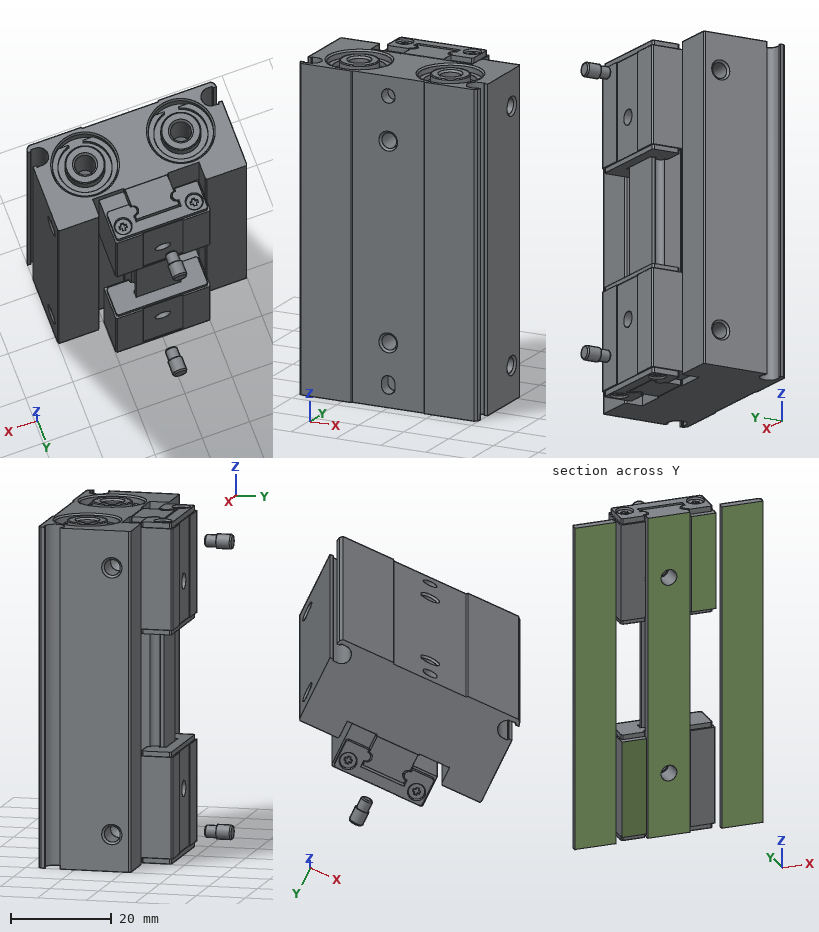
import cadquery as cq
import math

length = 69.0
mid_z = length / 2

housing_half_width = 20.0
wing_top = 18.9
wing_inner_x = 11.25
wing_break_width = 0.2
wing_break_height = 0.4
floor_y = 15.0
pad_y = 15.25
pad_half_width = 4.7
front_recess_half_width = 8.2
front_recess_draft = 0.3
front_recess_depth = 0.3
foot_taper_inset = 0.2
foot_taper_y = 0.5
foot_corner_inset = 0.75

slot_y = 2.9
slot_radius = 1.9
slot_center_x = housing_half_width - 1.8
slot_lip = 0.8
slot_mouth_half_width = 1.6

bore_x = 10.15
bore_y = 7.6
bore_radius = 13.0 / 2
bore_chamfer = 0.35
ring_depth = 1.45
ring_thickness = 1.0
ring_inner_radius = 10.75 / 2
ring_gap = 3.05
ring_flat = 5.4
recess_depth = ring_depth + ring_thickness

rod_radius = 8.0 / 2
rod_chamfer = 0.2
rod_length = mid_z
rod_hole_diameter = 4.15
rod_hole_mouth = 5.0
rod_hole_depth = 9.65
drill_point_angle = 118.0

mount_hole_diameter = 3.25
hole_mouth_diameter = 4.15
mount_hole_offset = 21.0
mount_hole_zs = [mid_z - mount_hole_offset, mid_z + mount_hole_offset]
side_hole_offset = 27.0
side_hole_y = 15.05
side_hole_depth = 5.5
locator_diameter = 3.0
locator_z = 64.85
locator_depth = 2.75
oblong_z = 4.75
oblong_length = 3.85

rail_half_width = 4.5
rail_top = 21.9
rail_end_recess = 0.15
raceway_y = 20.0
raceway_radius = 1.05

carriage_half_width = 10.0
carriage_top = 25.0
carriage_length = 22.6
carriage_underside = 18.0
carriage_edge_chamfer = 0.3
leg_bottom = 15.25
carriage_inner_half_width = 4.75
carriage_inner_top = 22.35
nub_radius = 1.0
top_recess_half_width = 4.2
top_recess_depth = 0.2
outer_cap_thickness = 1.1
inner_cap_thickness = 1.0
cap_inset = 0.35
cap_underside = 18.5
cap_chamfer = 0.35
screw_x = 7.5
screw_y = 22.35
screw_recess_radius = 3.6 / 2
screw_head_radius = 3.25 / 2
screw_recess_depth = 0.4
cross_length = 1.5
cross_width = 0.6
cross_depth = 1.0

pin_head_y = 34.8
pin_step_y = 31.7
pin_end_y = 29.25
pin_offset = 29.4
pin_head_radius = 3.0 / 2
pin_neck_radius = 2.5 / 2
pin_head_chamfer_length = 0.35
pin_head_chamfer_width = 0.2
pin_neck_chamfer = 0.3


def box(x0, x1, y0, y1, z0, z1):
    return cq.Workplane("XY").box(x1 - x0, y1 - y0, z1 - z0, centered=False).translate((x0, y0, z0))


def rod_along_z(x, y, radius, z0, z1):
    return cq.Workplane("XY", origin=(x, y, z0)).circle(radius).extrude(z1 - z0)


def rod_along_y(z, radius, y0, y1):
    """Cylinder on the plane x = 0, running from y0 up to y1."""
    return cq.Workplane("XZ", origin=(0, y0, z)).circle(radius).extrude(y0 - y1)


def drilled_hole(diameter, mouth_diameter, depth):
    """Blind hole from the origin along -Z, with a 45 degree mouth and a drill point."""
    radius = diameter / 2
    mouth_radius = mouth_diameter / 2
    point_length = radius / math.tan(math.radians(drill_point_angle / 2))
    half_section = [
        (0, 0),
        (mouth_radius, 0),
        (radius, radius - mouth_radius),
        (radius, -depth),
        (0, -depth - point_length),
    ]
    return cq.Workplane("XZ").polyline(half_section).close().revolve(360, (0, 0), (0, 1))


def mount_hole(z):
    return rod_along_y(z, mount_hole_diameter / 2, 0, carriage_top)



def housing_profile():
    half_outline = [
        (front_recess_half_width - front_recess_draft, front_recess_depth),
        (front_recess_half_width, 0),
        (housing_half_width - foot_corner_inset, 0),
        (housing_half_width - foot_taper_inset, foot_taper_y),
        (housing_half_width, slot_y - slot_mouth_half_width),
        (housing_half_width, wing_top - wing_break_height),
        (housing_half_width - wing_break_width, wing_top),
        (wing_inner_x + wing_break_width, wing_top),
        (wing_inner_x, wing_top - wing_break_height),
        (wing_inner_x, floor_y),
        (pad_half_width, floor_y),
        (pad_half_width, pad_y),
    ]
    mirrored = [(-x, y) for x, y in reversed(half_outline)]
    return cq.Workplane("XY").polyline(half_outline + mirrored).close().extrude(length)


def side_slot():
    """Slot on the +X side."""
    inside_lip = housing_half_width - slot_lip
    slot = rod_along_z(slot_center_x, slot_y, slot_radius, 0, length)
    slot = slot.union(box(slot_center_x, inside_lip, slot_y - slot_radius, slot_y + slot_radius, 0, length))
    mouth_bottom = slot_y - slot_mouth_half_width
    mouth_top = slot_y + slot_mouth_half_width
    return slot.union(box(slot_center_x, housing_half_width, mouth_bottom, mouth_top, 0, length))


def bore_recess():
    """Space around a rod at the bore mouth, leaving the retaining ring and opening for the rod."""
    recess = rod_along_z(0, 0, bore_radius, -recess_depth, 0)
    mouth = cq.Solid.makeCone(bore_radius, bore_radius + bore_chamfer, bore_chamfer,
                              cq.Vector(0, 0, -bore_chamfer))
    recess = recess.union(cq.Workplane(obj=mouth))

    ring = rod_along_z(0, 0, bore_radius, -recess_depth, -ring_depth)
    ring = ring.cut(rod_along_z(0, 0, ring_inner_radius, -recess_depth, -ring_depth))
    ring = ring.cut(box(-bore_radius, bore_radius, -bore_radius, -ring_flat, -recess_depth, 0))
    ring = ring.cut(box(-ring_gap / 2, ring_gap / 2, -bore_radius, 0, -recess_depth, 0))

    return recess.cut(ring).union(rod_along_z(0, 0, rod_radius, -rod_length, 0))


def mount_hole_mouth(z):
    mouth_radius = hole_mouth_diameter / 2
    radius = mount_hole_diameter / 2
    cone = cq.Solid.makeCone(mouth_radius, radius, mouth_radius - radius,
                             cq.Vector(0, front_recess_depth, z), cq.Vector(0, 1, 0))
    return cq.Workplane(obj=cone)


def locator_holes():
    bottom_y = front_recess_depth + locator_depth
    round_hole = rod_along_y(locator_z, locator_diameter / 2, 0, bottom_y)
    oblong_hole = (
        cq.Workplane("XZ", origin=(0, 0, oblong_z))
        .slot2D(oblong_length, locator_diameter, 90)
        .extrude(-bottom_y)
    )
    return round_hole.union(oblong_hole)


def make_rail():
    rail = box(-rail_half_width, rail_half_width, pad_y, rail_top, rail_end_recess, length - rail_end_recess)
    for side in (-1, 1):
        rail = rail.cut(rod_along_z(side * rail_half_width, raceway_y, raceway_radius, 0, length))
    return rail


def make_housing():
    body = housing_profile().union(make_rail())
    slot = side_slot()
    body = body.cut(slot).cut(slot.mirror("YZ"))
    for side in (-1, 1):
        body = body.cut(bore_recess().translate((side * bore_x, bore_y, length)))
    for z in mount_hole_zs:
        body = body.cut(mount_hole(z)).cut(mount_hole_mouth(z))
    side_hole = drilled_hole(mount_hole_diameter, hole_mouth_diameter, side_hole_depth)
    for side in (-1, 1):
        turned_hole = side_hole.rotate((0, 0, 0), (0, 1, 0), side * 90)
        for z in (mid_z - side_hole_offset, mid_z + side_hole_offset):
            body = body.cut(turned_hole.translate((side * housing_half_width, side_hole_y, z)))
    return body.cut(locator_holes())



def make_rod(x):
    rod = rod_along_z(0, 0, rod_radius, -rod_length, 0).faces(">Z").chamfer(rod_chamfer)
    rod = rod.cut(drilled_hole(rod_hole_diameter, rod_hole_mouth, rod_hole_depth))
    return rod.translate((x, bore_y, length))



def rail_channel(z0, z1):
    """Opening for the rail, with a raceway nub left standing on each flank."""
    half_width = carriage_inner_half_width
    channel = box(-half_width, half_width, leg_bottom, carriage_inner_top, z0, z1)
    for side in (-1, 1):
        channel = channel.cut(rod_along_z(side * half_width, raceway_y, nub_radius, z0, z1))
    return channel


def screw_recess(x):
    """Tapered recess with the screw's cross slot in its floor."""
    recess = (
        cq.Workplane("XY", origin=(x, screw_y, length))
        .circle(screw_recess_radius)
        .workplane(offset=-screw_recess_depth)
        .circle(screw_head_radius)
        .loft()
    )
    for size in ((cross_length, cross_width), (cross_width, cross_length)):
        arm = cq.Workplane("XY", origin=(x, screw_y, length)).rect(*size).extrude(-cross_depth)
        recess = recess.union(arm)
    return recess


def make_upper_carriage():
    """Carriage at the top end of the rail, with its deep leg on the +X side."""
    half_width = carriage_half_width
    z0 = length - carriage_length
    z1 = length
    core_z0 = z0 + inner_cap_thickness
    core_z1 = z1 - outer_cap_thickness

    core = box(-half_width, half_width, carriage_underside, carriage_top, core_z0, core_z1)
    core = core.edges("|Z and >Y").chamfer(carriage_edge_chamfer)
    leg = box(carriage_inner_half_width, half_width, leg_bottom, carriage_underside, core_z0, core_z1)
    caps = box(-half_width + cap_inset, half_width - cap_inset, cap_underside, carriage_top - cap_inset, z0, z1)
    caps = caps.edges("|Z").chamfer(cap_chamfer)

    recess_floor = carriage_top - top_recess_depth
    top_recess = box(-top_recess_half_width, top_recess_half_width, recess_floor, carriage_top, z0, z1)
    carriage = core.union(leg).union(caps).cut(top_recess).cut(rail_channel(z0, z1))
    for side in (-1, 1):
        carriage = carriage.cut(screw_recess(side * screw_x))
    return carriage.cut(mount_hole(mid_z + mount_hole_offset))



def make_pin(z):
    head = rod_along_y(z, pin_head_radius, pin_step_y, pin_head_y)
    head = head.faces(">Y").chamfer(pin_head_chamfer_length, pin_head_chamfer_width)
    neck = rod_along_y(z, pin_neck_radius, pin_end_y, pin_step_y)
    neck = neck.faces("<Y").chamfer(pin_neck_chamfer)
    return head.union(neck)



housing = make_housing()
rods = [make_rod(side * bore_x) for side in (-1, 1)]

upper_carriage = make_upper_carriage()
carriages = [
    upper_carriage.rotate((0, 0, mid_z), (0, 1, mid_z), turn)
    for turn in (0, 180)
]
pins = [make_pin(mid_z + side * pin_offset) for side in (-1, 1)]

result = cq.Compound.makeCompound([
    housing.val(),
    *[rod.val() for rod in rods],
    *[carriage.val() for carriage in carriages],
    *[pin.val() for pin in pins],
])